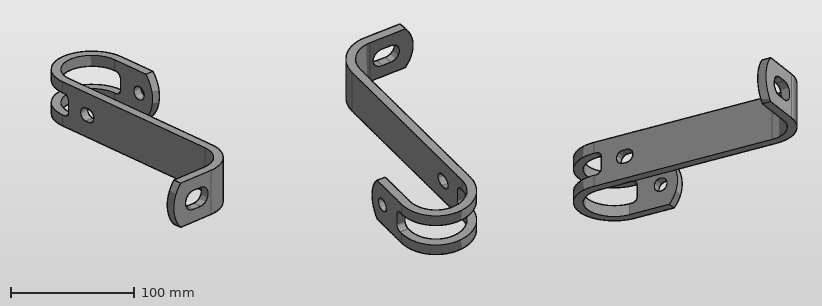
import cadquery as cq

length = 233.0
depth = 132.8
width = 40.0
thickness = 8.0
outer_radius = 33.0
tip_radius = 30.0
hook_reach = 77.8

window_reach = 40.0
window_height = 20.0
window_corner_radius = 5.0

hole_x = 62.0
hole_diameter = 11.9
short_slot_length = 15.1

leg_slot_length = 25.2
leg_slot_height = 17.0
leg_slot_from_tip = 25.9

inner_radius = outer_radius - thickness
hook_outer_y = outer_radius
leg_tip_y = hook_outer_y - depth
leg_bend_x = length - outer_radius
leg_bend_y = -inner_radius - outer_radius


def bent_strip():
    """Strip with a U bend at one end and a right-angle bend at the other."""
    profile = (
        cq.Workplane("XY")
        .moveTo(hook_reach, outer_radius)
        .lineTo(outer_radius, outer_radius)
        .threePointArc((0, 0), (outer_radius, -outer_radius))
        .lineTo(leg_bend_x, -outer_radius)
        .radiusArc((leg_bend_x + inner_radius, leg_bend_y), inner_radius)
        .lineTo(length - thickness, leg_tip_y)
        .lineTo(length, leg_tip_y)
        .lineTo(length, leg_bend_y)
        .radiusArc((leg_bend_x, -inner_radius), -outer_radius)
        .lineTo(outer_radius, -inner_radius)
        .threePointArc((thickness, 0), (outer_radius, inner_radius))
        .lineTo(hook_reach, inner_radius)
        .close()
    )
    return profile.extrude(width / 2, both=True)


def rounded_end(plane, tip):
    """Waste outside a tip arc; the strip end points along the plane's +x axis."""
    arc_center = tip - tip_radius
    block = cq.Workplane(plane).center(arc_center + tip_radius / 2, 0).rect(tip_radius, width)
    disc = cq.Workplane(plane).center(arc_center, 0).circle(tip_radius)
    return block.extrude(thickness).cut(disc.extrude(thickness))


hook_plane = cq.Plane(origin=(0, hook_outer_y, 0), xDir=(1, 0, 0), normal=(0, -1, 0))
arm_plane = cq.Plane(origin=(0, -inner_radius, 0), xDir=(1, 0, 0), normal=(0, -1, 0))
leg_plane = cq.Plane(origin=(length, 0, 0), xDir=(0, -1, 0), normal=(-1, 0, 0))

window = (
    cq.Workplane("XY")
    .box(window_reach, 2 * outer_radius, window_height)
    .translate((window_reach / 2, 0, 0))
    .edges("|Y and >X")
    .fillet(window_corner_radius)
)

round_hole = cq.Workplane(hook_plane).center(hole_x, 0).circle(hole_diameter / 2).extrude(thickness)
short_slot = (
    cq.Workplane(arm_plane)
    .center(hole_x, 0)
    .slot2D(short_slot_length, hole_diameter)
    .extrude(thickness)
)
leg_slot = (
    cq.Workplane(leg_plane)
    .center(-leg_tip_y - leg_slot_from_tip, 0)
    .slot2D(leg_slot_length, leg_slot_height)
    .extrude(thickness)
)

result = (
    bent_strip()
    .cut(rounded_end(hook_plane, hook_reach))
    .cut(rounded_end(leg_plane, -leg_tip_y))
    .cut(window)
    .cut(round_hole)
    .cut(short_slot)
    .cut(leg_slot)
)